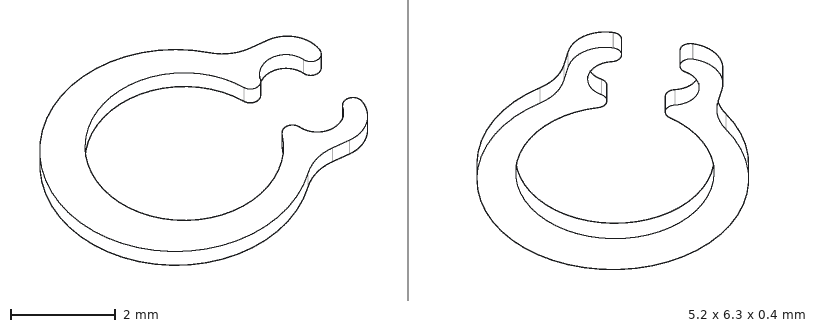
import cadquery as cq
import math


overall_width = 5.2
overall_length = 6.3
thickness = 0.4
bore_radius = 1.895
rim_offset = 0.195
ear_half_width = 1.505
ear_radius = 0.725
tip_radius = 0.2
gap_half_width = 0.575
neck_radius = 1.015

rim_radius = overall_width / 2
rim_center = (0, -rim_offset)
rim_bottom_y = -rim_offset - rim_radius
top_y = rim_bottom_y + overall_length

shoulder_center = (ear_half_width - ear_radius, top_y - ear_radius)
tip_x = gap_half_width + tip_radius
upper_tip_center = (tip_x, top_y - tip_radius)
lower_tip_center = (tip_x, math.sqrt((bore_radius + tip_radius) ** 2 - tip_x**2))
notch_center = (gap_half_width, (upper_tip_center[1] + lower_tip_center[1]) / 2)
notch_radius = math.dist(notch_center, upper_tip_center) - tip_radius
neck_x = ear_half_width + neck_radius
neck_center = (neck_x, rim_center[1] + math.sqrt((rim_radius + neck_radius) ** 2 - neck_x**2))


def toward(start, target, distance):
    """Point at the given distance from start along the line to target."""
    share = distance / math.dist(start, target)
    return (
        start[0] + share * (target[0] - start[0]),
        start[1] + share * (target[1] - start[1]),
    )


def arc_middle(center, start, end):
    """Middle of the shorter arc about center from start to end."""
    chord_middle = ((start[0] + end[0]) / 2, (start[1] + end[1]) / 2)
    return toward(center, chord_middle, math.dist(center, start))


bore_end = toward((0, 0), lower_tip_center, bore_radius)
notch_start = toward(notch_center, lower_tip_center, notch_radius)
notch_end = toward(notch_center, upper_tip_center, notch_radius)
upper_tip_top = (tip_x, top_y)
shoulder_start = (shoulder_center[0], top_y)
shoulder_end = (ear_half_width, shoulder_center[1])
neck_start = (ear_half_width, neck_center[1])
rim_start = toward(rim_center, neck_center, rim_radius)


outline_start = (0, -bore_radius)
right_stretches = [
    ((bore_radius, 0), bore_end),
    (arc_middle(lower_tip_center, bore_end, notch_start), notch_start),
    (arc_middle(notch_center, notch_start, notch_end), notch_end),
    (arc_middle(upper_tip_center, notch_end, upper_tip_top), upper_tip_top),
    (None, shoulder_start),
    (arc_middle(shoulder_center, shoulder_start, shoulder_end), shoulder_end),
    (None, neck_start),
    (arc_middle(neck_center, neck_start, rim_start), rim_start),
    ((rim_radius, -rim_offset), (0, rim_bottom_y)),
]


def mirrored(point):
    """Matching point on the other side of the centreline."""
    return (-point[0], point[1])


def ring_outline():
    """Up the right half from bore to rim, then back along its mirror image."""
    outline = cq.Workplane("XY").moveTo(*outline_start)
    for middle, end in right_stretches:
        outline = outline.threePointArc(middle, end) if middle else outline.lineTo(*end)

    starts = [outline_start] + [end for _, end in right_stretches[:-1]]
    for (middle, _), start in reversed(list(zip(right_stretches, starts))):
        target = mirrored(start)
        outline = outline.threePointArc(mirrored(middle), target) if middle else outline.lineTo(*target)
    return outline.close()


result = ring_outline().extrude(thickness)